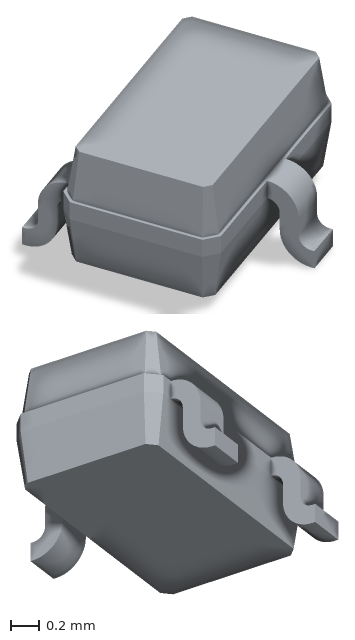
import cadquery as cq

body_width = 1.25
body_length = 2.0
body_bottom = 0.1
belt_bottom = 0.5
lead_thickness = 0.15
belt_top = belt_bottom + lead_thickness
body_top = 1.05
corner_chamfer = 0.1
draft_angle = 8.0
ledge = 0.025

lead_width = 0.3
lead_pitch = 0.65
inner_radius = 0.1
outer_radius = inner_radius + lead_thickness
lead_end = 1.0
embed = 0.1


def belt_outline(z):
    """Chamfered rectangle of the belt, as a wire at height z."""
    half_width = body_width / 2
    half_length = body_length / 2
    flat_x = half_width - corner_chamfer
    flat_y = half_length - corner_chamfer
    return cq.Workplane("XY", origin=(0, 0, z)).polyline([
        (half_width, -flat_y), (half_width, flat_y),
        (flat_x, half_length), (-flat_x, half_length),
        (-half_width, flat_y), (-half_width, -flat_y),
        (-flat_x, -half_length), (flat_x, -half_length),
    ]).close()


def make_body():
    """Straight belt with a drafted half above and below it."""
    belt = belt_outline(belt_bottom).extrude(lead_thickness)
    lower = belt_outline(belt_bottom).extrude(body_bottom - belt_bottom, taper=draft_angle)
    upper = (
        belt_outline(belt_top).offset2D(-ledge, "intersection")
        .extrude(body_top - belt_top, taper=draft_angle)
    )
    return belt.union(lower).union(upper)


def make_lead(y):
    """S-shaped lead on the +X side, centred at the given y."""
    bend_x = body_width / 2
    shank_outer = bend_x + outer_radius
    shank_inner = bend_x + inner_radius
    foot_x = shank_outer + inner_radius
    shank_top = belt_top - outer_radius
    shank_bottom = outer_radius
    profile = (
        cq.Workplane("XZ", origin=(0, y, 0))
        .moveTo(bend_x - embed, belt_top)
        .lineTo(bend_x, belt_top)
        .tangentArcPoint((shank_outer, shank_top), relative=False)
        .lineTo(shank_outer, shank_bottom)
        .tangentArcPoint((foot_x, lead_thickness), relative=False)
        .lineTo(lead_end, lead_thickness)
        .lineTo(lead_end, 0)
        .lineTo(foot_x, 0)
        .tangentArcPoint((shank_inner, shank_bottom), relative=False)
        .lineTo(shank_inner, shank_top)
        .tangentArcPoint((bend_x, belt_bottom), relative=False)
        .lineTo(bend_x - embed, belt_bottom)
        .close()
    )
    return profile.extrude(lead_width / 2, both=True)


result = make_body().union(make_lead(0))
for lead_y in (-lead_pitch, lead_pitch):
    result = result.union(make_lead(lead_y).mirror("YZ"))